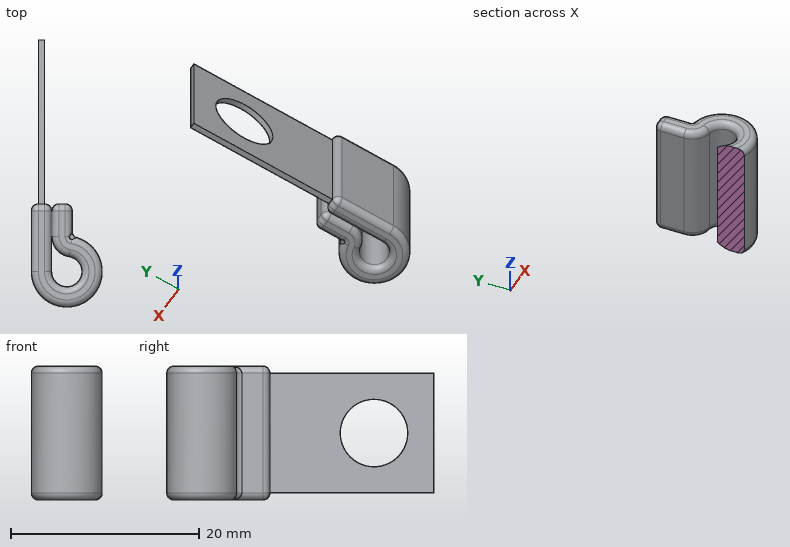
import cadquery as cq
import math

strip_thickness = 0.65
strip_width = 12.7
wall = 0.76
bore_diameter = 3.2
total_length = 28.36
leg_length = 7.2
leg_gap = 0.02
hole_diameter = 7.14
hole_to_tip = 6.35
corner_radius = 0.6
blend_lip = 0.001
blend_path_points = 7

cover_thickness = strip_thickness + 2 * wall
cover_width = strip_width + 2 * wall
inner_radius = bore_diameter / 2
outer_radius = inner_radius + cover_thickness
strip_tip_y = total_length - outer_radius
hole_y = strip_tip_y - hole_to_tip
short_leg_left = -inner_radius + leg_gap

corner_x = short_leg_left + cover_thickness
corner_y = math.sqrt(outer_radius**2 - corner_x**2)
bend_angle = math.degrees(math.atan2(corner_y, corner_x))


def cover_section(left):
    """Cover cross-section in the XZ plane with rounded corners, its left side at x = left."""
    section = (
        cq.Sketch()
        .push([(left + cover_thickness / 2, 0)])
        .rect(cover_thickness, cover_width)
        .reset()
        .vertices()
        .fillet(wall)
    )
    return cq.Workplane("XZ").placeSketch(section)


def make_leg(left, start_y):
    """Straight covered leg along +Y with all edges of its free end rounded."""
    length = leg_length - start_y
    leg = cq.Workplane("XY").box(
        cover_thickness, length, cover_width, centered=(False, False, True)
    )
    leg = leg.faces(">Y").edges("|Z").fillet(wall)
    leg = leg.faces("|Z").edges("not <Y").fillet(wall)
    return leg.translate((left, start_y, 0))


def make_loop():
    """Covered loop from the long leg round to the reverse bend."""
    return cover_section(-outer_radius).revolve(180 + bend_angle, (0, 0, 0), (0, 1, 0))


def make_reverse_bend():
    """Covered bend that joins the loop to the short leg, turning about the inner corner."""
    bend = cover_section(short_leg_left).revolve(
        bend_angle, (corner_x, 0, 0), (corner_x, 1, 0)
    )
    return bend.translate((0, corner_y, 0))


def ball_centre(angle):
    """Centre of the blend ball that rests on the edge roundings of short leg and loop.

    The angle is the slope of the contact: zero on the upright sides, growing towards the top.
    """
    reach = wall + corner_radius
    clearance = reach * math.cos(angle) - wall
    x = corner_x + clearance
    y = math.sqrt((outer_radius + clearance) ** 2 - x**2)
    return cq.Vector(x, y, strip_width / 2 + reach * math.sin(angle))


def contact_points(angle):
    """Plan positions where the blend ball touches the short leg and the loop."""
    centre = ball_centre(angle)
    depth = wall * (1 - math.cos(angle))
    centre_distance = math.hypot(centre.x, centre.y)
    loop_scale = (outer_radius - depth) / centre_distance
    return (corner_x - depth, centre.y), (centre.x * loop_scale, centre.y * loop_scale)


def make_corner_blend():
    """Filler of the inner corner, hollowed by a ball rolling up it and over its two ends."""
    end_angle = math.acos(wall / (wall + corner_radius))
    leg_low, loop_low = contact_points(0)
    leg_high, loop_high = contact_points(end_angle)
    start = ball_centre(0)
    far_angle = math.pi + math.radians(bend_angle) / 2
    far_depth = wall * (1 - math.cos(end_angle))
    far_point = (
        corner_x + far_depth * math.cos(far_angle),
        corner_y + far_depth * math.sin(far_angle),
    )
    cut_radius = corner_radius - blend_lip
    half_height = strip_width / 2 + wall * math.sin(end_angle)
    filler = (
        cq.Workplane("XY")
        .moveTo(*leg_high)
        .lineTo(*leg_low)
        .lineTo(start.x, start.y)
        .lineTo(*loop_low)
        .lineTo(*loop_high)
        .threePointArc(far_point, leg_high)
        .close()
        .extrude(half_height, both=True)
    )
    upright = (
        cq.Workplane("XY")
        .center(start.x, start.y)
        .circle(cut_radius)
        .extrude(strip_width / 2, both=True)
    )
    steps = blend_path_points - 1
    path_points = [ball_centre(end_angle * i / steps) for i in range(blend_path_points)]
    path = cq.Workplane("XY").spline(path_points)
    over_top = (
        cq.Workplane("XY", origin=start)
        .circle(cut_radius)
        .sweep(path)
    )
    end_ball = cq.Workplane("XY").sphere(cut_radius).translate(ball_centre(end_angle))
    filler = filler.cut(upright)
    for cutter in (over_top, end_ball):
        filler = filler.cut(cutter).cut(cutter.mirror("XY"))
    return filler


def make_strip():
    """Flat metal strip that leaves the long leg, with its mounting hole."""
    strip_left = -outer_radius + wall
    strip = cq.Workplane("XY").box(
        strip_thickness, strip_tip_y, strip_width, centered=(False, False, True)
    )
    hole = (
        cq.Workplane("YZ")
        .center(hole_y, 0)
        .circle(hole_diameter / 2)
        .extrude(strip_thickness)
    )
    return strip.cut(hole).translate((strip_left, 0, 0))


cover = make_loop().union(make_reverse_bend())
cover = cover.union(make_leg(short_leg_left, corner_y))
cover = cover.union(make_leg(-outer_radius, 0))
cover = cover.union(make_corner_blend())
result = cover.union(make_strip()).solids()